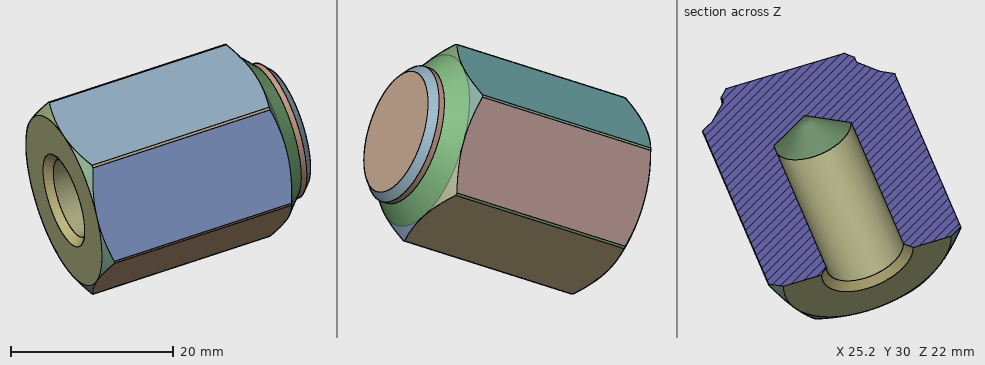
import math
import cadquery as cq

total_length = 30.0
across_flats = 22.0
corner_diameter = 25.2
corner_chamfer_angle = 30.0
hexagon_sides = 6

hexagon_length = 26.0
spigot_diameter = 17.5
spigot_end_chamfer = 1.0

hole_diameter = 10.106
hole_depth = 20.0
drill_point_angle = 120.0
countersink_diameter = 12.0

flat_radius = across_flats / 2
corner_radius = corner_diameter / 2
spigot_radius = spigot_diameter / 2
spigot_end_radius = spigot_radius - spigot_end_chamfer
hole_radius = hole_diameter / 2
countersink_radius = countersink_diameter / 2
countersink_depth = countersink_radius - hole_radius

corner_chamfer_length = (corner_radius - flat_radius) * math.tan(math.radians(corner_chamfer_angle))
shoulder_cone_length = flat_radius - spigot_radius
spigot_start = hexagon_length + shoulder_cone_length
drill_point_length = hole_radius / math.tan(math.radians(drill_point_angle / 2))


def revolve_about_y(profile_points):
    """Solid of revolution about Y from (radius, y) points."""
    profile = cq.Workplane("XY").polyline(profile_points).close()
    return profile.revolve(360, (0, 0, 0), (0, 1, 0))


def make_hexagonal_bar():
    """Full-length hexagonal bar with two corners on the X axis."""
    circumscribed_diameter = across_flats / math.cos(math.pi / hexagon_sides)
    front_plane = cq.Workplane("XZ")
    return front_plane.polygon(hexagon_sides, circumscribed_diameter).extrude(-total_length)


def make_turned_envelope():
    """Outer turned shape: chamfered corners, shoulder cone and spigot."""
    return revolve_about_y([
        (0, 0),
        (flat_radius, 0),
        (corner_radius, corner_chamfer_length),
        (corner_radius, hexagon_length - corner_chamfer_length),
        (flat_radius, hexagon_length),
        (spigot_radius, spigot_start),
        (spigot_radius, total_length - spigot_end_chamfer),
        (spigot_end_radius, total_length),
        (0, total_length),
    ])


def make_blind_hole():
    """Countersunk drilled hole with a conical bottom."""
    return revolve_about_y([
        (0, 0),
        (countersink_radius, 0),
        (hole_radius, countersink_depth),
        (hole_radius, hole_depth),
        (0, hole_depth + drill_point_length),
    ])


body = make_hexagonal_bar().intersect(make_turned_envelope())
result = body.cut(make_blind_hole())